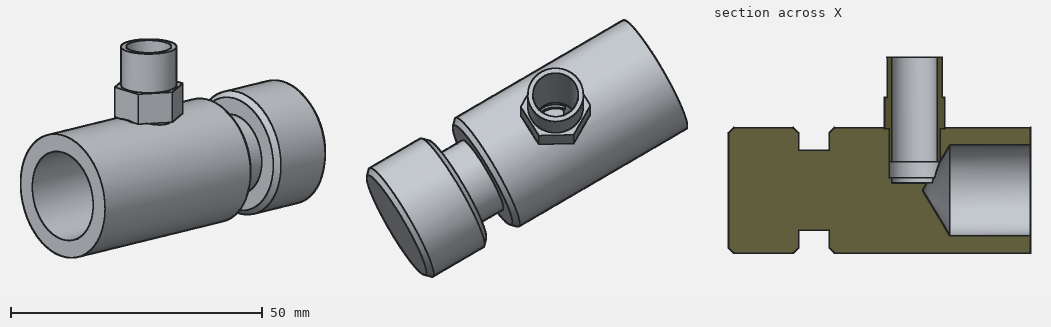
import cadquery as cq
import math

HOUSING_LENGTH = 60.0
HOUSING_DIAMETER = 25.0
HEAD_LENGTH = 14.0
GROOVE_WIDTH = 6.0
GROOVE_DIAMETER = 16.0
CHAMFER = 1.1
BORE_DIAMETER = 18.0
BORE_DEPTH = 16.0
DRILL_POINT_ANGLE = 118.0
SOCKET_FLOOR_Z = 2.5
PORT_FLOOR_Z = 1.5

FITTING_Y = 23.05
STUB_BOTTOM_Z = 5.65
HEX_BOTTOM_Z = 12.3
HEX_TOP_Z = 18.5
FITTING_TOP_Z = 26.45
STUB_DIAMETER = 10.0
TUBE_DIAMETER = 11.05
FITTING_HOLE_DIAMETER = 9.0
HEX_ACROSS_FLATS = 12.0


def cylinder_z(diameter, bottom_z, top_z):
    """Vertical cylinder on the fitting axis."""
    return (
        cq.Workplane("XY", origin=(0, FITTING_Y, bottom_z))
        .circle(diameter / 2)
        .extrude(top_z - bottom_z)
    )


def make_housing_blank():
    """Revolved housing profile, including the groove and the conical bore end."""
    outer_radius = HOUSING_DIAMETER / 2
    chamfer_radius = outer_radius - CHAMFER
    groove_radius = GROOVE_DIAMETER / 2
    bore_radius = BORE_DIAMETER / 2
    head_start = HOUSING_LENGTH - HEAD_LENGTH
    groove_start = head_start - GROOVE_WIDTH
    cone_length = bore_radius / math.tan(math.radians(DRILL_POINT_ANGLE / 2))
    profile = [
        (bore_radius, 0),
        (outer_radius, 0),
        (outer_radius, groove_start - CHAMFER),
        (chamfer_radius, groove_start),
        (groove_radius, groove_start),
        (groove_radius, head_start),
        (chamfer_radius, head_start),
        (outer_radius, head_start + CHAMFER),
        (outer_radius, HOUSING_LENGTH - CHAMFER),
        (chamfer_radius, HOUSING_LENGTH),
        (0, HOUSING_LENGTH),
        (0, BORE_DEPTH + cone_length),
        (bore_radius, BORE_DEPTH),
    ]
    return cq.Workplane("XY").polyline(profile).close().revolve(360, (0, 0, 0), (0, 1, 0))


def make_hexagon():
    """Hexagon with two corners on the X direction."""
    across_corners = HEX_ACROSS_FLATS / math.cos(math.radians(30))
    return (
        cq.Workplane("XY", origin=(0, FITTING_Y, HEX_BOTTOM_Z))
        .polygon(6, across_corners)
        .extrude(HEX_TOP_Z - HEX_BOTTOM_Z)
    )


def make_housing():
    """Housing with a stepped port and a shallow seat for the hexagon."""
    socket = cylinder_z(STUB_DIAMETER, SOCKET_FLOOR_Z, HEX_TOP_Z)
    port = cylinder_z(FITTING_HOLE_DIAMETER, PORT_FLOOR_Z, HEX_TOP_Z)
    return make_housing_blank().cut(socket).cut(port).cut(make_hexagon())


def make_fitting():
    """Stub, hexagon and tube joined in one piece, with a hole right through."""
    stub = cylinder_z(STUB_DIAMETER, STUB_BOTTOM_Z, HEX_BOTTOM_Z)
    tube = cylinder_z(TUBE_DIAMETER, HEX_TOP_Z, FITTING_TOP_Z)
    hole = cylinder_z(FITTING_HOLE_DIAMETER, STUB_BOTTOM_Z, FITTING_TOP_Z)
    return make_hexagon().union(stub).union(tube).cut(hole)


housing = make_housing()
fitting = make_fitting()

result = cq.Compound.makeCompound([housing.val(), fitting.val()])